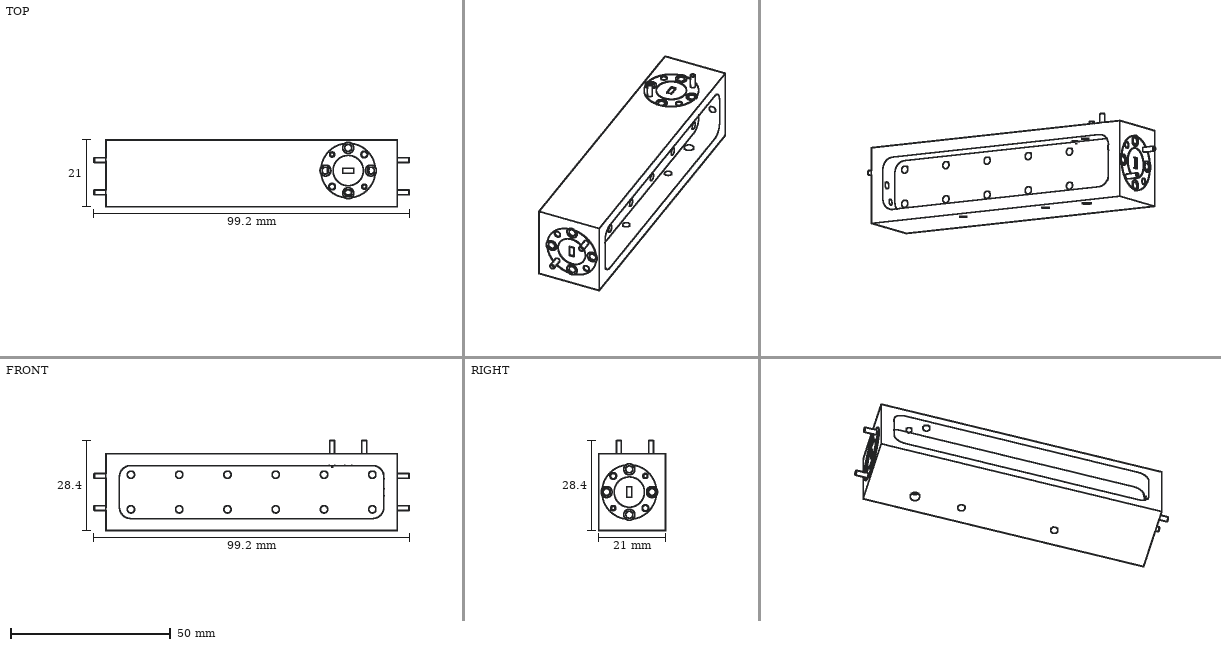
import cadquery as cq
import math

total_length = 99.2
total_height = 28.4
body_width = 21.0
end_pin_projection = 3.8
top_pin_projection = 4.2
body_length = total_length - 2 * end_pin_projection
body_height = total_height - top_pin_projection

pocket_length = 83.1
pocket_height = 16.7
pocket_corner_radius = 3.6
web_thickness = 8.3

flange_offset = 0.9
web_front_y = flange_offset - web_thickness / 2
web_back_y = flange_offset + web_thickness / 2

web_hole_pitch = 15.2
web_hole_columns = 6
web_hole_row_spacing = 10.9
web_hole_diameter = 2.3
web_hole_depth = 6.0

top_flange_x = 2 * web_hole_pitch
flange_diameter = 17.2
boss_diameter = 9.5
flange_recess = 0.2
bolt_circle_radius = 7.1
bolt_hole_diameter = 2.2
bolt_hole_depth = 6.0
counterbore_diameter = 3.5
counterbore_depth = 0.4
pin_diameter = 1.6
pin_chamfer = 0.2
pin_seat_depth = 3.5
pin_hole_diameter = 1.8
pin_hole_mouth_diameter = 2.1
pin_hole_depth = 4.4
drill_point_angle = 118.0
guide_broad = 3.4
guide_narrow = 1.6
guide_depth = 0.4

floor_hole_y = -5.3
mount_hole_diameter = 2.3
access_hole_diameter = 3.0


def polar_points(angles):
    """Points on the flange bolt circle at the given angles in degrees."""
    return [
        (
            bolt_circle_radius * math.cos(math.radians(angle)),
            bolt_circle_radius * math.sin(math.radians(angle)),
        )
        for angle in angles
    ]


def cylinders(plane, points, diameter, depth):
    """Cylinders running inward from the plane."""
    return cq.Workplane(plane).pushPoints(points).circle(diameter / 2).extrude(-depth)


def drilled_holes(plane, points, diameter, depth):
    """Drilled holes running inward from the plane, ending in a drill point."""
    radius = diameter / 2
    tip_length = radius / math.tan(math.radians(drill_point_angle / 2))
    drill = (
        cq.Workplane("XZ")
        .polyline([(0, 0), (radius, 0), (radius, -depth), (0, -depth - tip_length)])
        .close()
        .revolve(360, (0, 0), (0, 1))
        .val()
    )
    return (
        cq.Workplane(plane)
        .pushPoints(points)
        .eachpoint(lambda place: drill.moved(place), useLocalCoordinates=True)
    )


def countersinks(plane, points):
    """45 degree cones widening the mouths of the open pin holes at the recess floor."""
    flare = (pin_hole_mouth_diameter - pin_hole_diameter) / 2
    return (
        cq.Workplane(plane)
        .workplane(offset=-flange_recess)
        .pushPoints(points)
        .circle(pin_hole_mouth_diameter / 2)
        .extrude(-flare, taper=45)
    )


def flange_cuts(plane):
    """Recess, bolt holes, open pin holes and waveguide opening of one flange."""
    bolt_points = polar_points([0, 90, 180, 270])
    pin_hole_points = polar_points([45, 225])
    recess = (
        cq.Workplane(plane)
        .circle(flange_diameter / 2)
        .circle(boss_diameter / 2)
        .extrude(-flange_recess)
    )
    counterbores = cylinders(plane, bolt_points, counterbore_diameter, counterbore_depth)
    bolt_holes = drilled_holes(plane, bolt_points, bolt_hole_diameter, bolt_hole_depth)
    pin_holes = drilled_holes(plane, pin_hole_points, pin_hole_diameter, pin_hole_depth)
    pin_hole_mouths = countersinks(plane, pin_hole_points)
    guide = cq.Workplane(plane).rect(guide_broad, guide_narrow).extrude(-guide_depth)
    return [recess, counterbores, bolt_holes, pin_holes, pin_hole_mouths, guide]


def flange_pins(plane, projection):
    """The two alignment pins of one flange, chamfered at the free end."""
    return (
        cq.Workplane(plane)
        .workplane(offset=-pin_seat_depth)
        .pushPoints(polar_points([135, 315]))
        .circle(pin_diameter / 2)
        .extrude(pin_seat_depth + projection)
        .faces(cq.DirectionMinMaxSelector(plane.zDir, True))
        .chamfer(pin_chamfer)
    )


def side_pocket(start_y, end_y):
    """Rounded pocket spanning the given range of Y."""
    return (
        cq.Workplane("XY")
        .box(pocket_length, end_y - start_y, pocket_height)
        .edges("|Y")
        .fillet(pocket_corner_radius)
        .translate((0, (start_y + end_y) / 2, 0))
    )


result = cq.Workplane("XY").box(body_length, body_width, body_height)
result = result.cut(side_pocket(-body_width / 2, web_front_y))
result = result.cut(side_pocket(web_back_y, body_width / 2))

web_plane = cq.Plane(origin=(0, web_front_y, 0), xDir=(1, 0, 0), normal=(0, -1, 0))
web_points = [
    ((column - (web_hole_columns - 1) / 2) * web_hole_pitch, row * web_hole_row_spacing / 2)
    for column in range(web_hole_columns)
    for row in (-1, 1)
]
result = result.cut(cylinders(web_plane, web_points, web_hole_diameter, web_hole_depth))

floor_thickness = (body_height - pocket_height) / 2
floor_plane = cq.Plane(origin=(0, 0, -pocket_height / 2), xDir=(1, 0, 0), normal=(0, 0, 1))
mount_points = [(side * web_hole_pitch, floor_hole_y) for side in (-1, 1)]
access_points = [(top_flange_x, floor_hole_y)]
result = result.cut(cylinders(floor_plane, mount_points, mount_hole_diameter, floor_thickness))
result = result.cut(cylinders(floor_plane, access_points, access_hole_diameter, floor_thickness))

end_x = body_length / 2
left_plane = cq.Plane(origin=(-end_x, -flange_offset, 0), xDir=(0, 0, 1), normal=(-1, 0, 0))
right_plane = cq.Plane(origin=(end_x, -flange_offset, 0), xDir=(0, 0, -1), normal=(1, 0, 0))
top_plane = cq.Plane(
    origin=(top_flange_x, flange_offset, body_height / 2), xDir=(1, 0, 0), normal=(0, 0, 1)
)
flanges = [
    (left_plane, end_pin_projection),
    (right_plane, end_pin_projection),
    (top_plane, top_pin_projection),
]
for plane, projection in flanges:
    for cut in flange_cuts(plane):
        result = result.cut(cut)
    result = result.union(flange_pins(plane, projection))